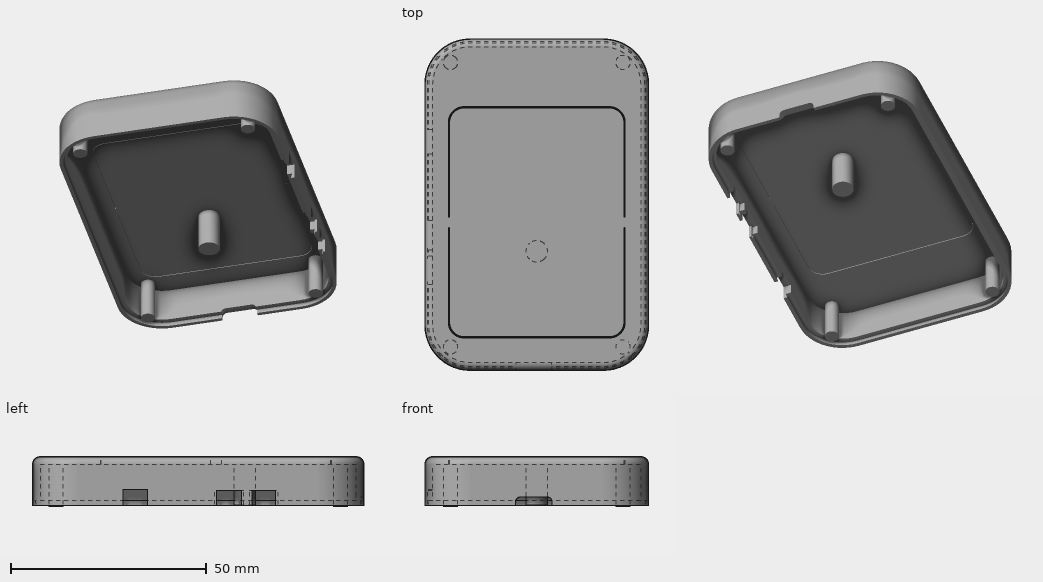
import cadquery as cq

LENGTH_X = 57.2
LENGTH_Y = 84.7
TOTAL_HEIGHT = 12.8
FOOT_DROP = 0.3
HEIGHT = TOTAL_HEIGHT - FOOT_DROP
CORNER_RADIUS = 11.6
ROOF_FILLET = 2.0

WALL = 2.0
ROOF = 2.0
RIM_WALL = 1.0
REBATE_HEIGHT = 1.35
REBATE_TAPER = 15.0

PANEL_X = 45.1
PANEL_Y = 59.0
PANEL_CENTER_Y = -4.5
PANEL_RADIUS = 4.0
SLOT_WIDTH = 0.2
BRIDGE_LENGTH = 2.8

CORNER_POST_DIAMETER = 3.67
CORNER_POST_X = 22.05
CORNER_POST_Y = 36.35
BUTTON_POST_DIAMETER = 5.5
BUTTON_POST_Y = -11.9
BUTTON_POST_BOTTOM = 0.2

SINGLE_OPENING = (16.1, 6.3, 4.1)
POCKETED_OPENINGS = [
    (-7.85, 6.3, 3.85),
    (-16.75, 6.1, 3.85),
]
POCKET_SIDE_CLEARANCE = 0.6
POCKET_WALL = 0.7

CONNECTOR_CENTER_X = -0.75
CONNECTOR_WIDTH = 9.3
CONNECTOR_HEIGHT = 2.2
CONNECTOR_RADIUS = 1.3

CUT_MARGIN = 1.0


def rounded_block(size_x, size_y, radius, bottom, height, taper=0):
    """Upright block with rounded corners, centered on the Z axis."""
    outline = cq.Sketch().rect(size_x, size_y).vertices().fillet(radius)
    return cq.Workplane("XY", origin=(0, 0, bottom)).placeSketch(outline).extrude(height, taper=taper)


def inset_block(inset, bottom, height, taper=0):
    """Block following the cover outline, moved inwards by the inset."""
    return rounded_block(
        LENGTH_X - 2 * inset, LENGTH_Y - 2 * inset, CORNER_RADIUS - inset, bottom, height, taper
    )


def make_shell():
    shell = inset_block(0, 0, HEIGHT).faces(">Z").edges().fillet(ROOF_FILLET)
    shell = shell.cut(inset_block(WALL, -CUT_MARGIN, HEIGHT - ROOF + CUT_MARGIN))
    return shell.cut(inset_block(RIM_WALL, 0, REBATE_HEIGHT, -REBATE_TAPER))


def make_panel_slot():
    bottom = HEIGHT - ROOF - CUT_MARGIN
    height = ROOF + 2 * CUT_MARGIN
    inner_x = PANEL_X - 2 * SLOT_WIDTH
    inner_y = PANEL_Y - 2 * SLOT_WIDTH
    slot = rounded_block(PANEL_X, PANEL_Y, PANEL_RADIUS, bottom, height)
    slot = slot.cut(rounded_block(inner_x, inner_y, PANEL_RADIUS - SLOT_WIDTH, bottom, height))
    bridges = cq.Workplane("XY", origin=(0, 0, bottom)).rect(LENGTH_X, BRIDGE_LENGTH).extrude(height)
    return slot.cut(bridges).translate((0, PANEL_CENTER_Y, 0))


def make_post(x, y, diameter, bottom):
    """Round post from the given bottom height up into the roof."""
    top = HEIGHT - ROOF / 2
    return cq.Workplane("XY", origin=(x, y, bottom)).circle(diameter / 2).extrude(top - bottom)


def make_side_opening(center_y, width, height, inset=-CUT_MARGIN):
    """Cutter through the rest of the -X wall, starting the inset inside its outer face."""
    depth = WALL + CUT_MARGIN - inset
    opening = cq.Workplane("XY").box(depth, width, height + CUT_MARGIN)
    center_x = -LENGTH_X / 2 + inset + depth / 2
    return opening.translate((center_x, center_y, (height - CUT_MARGIN) / 2))


def make_pocketed_opening(center_y, width, height):
    pocket_width = width + 2 * POCKET_SIDE_CLEARANCE
    pocket = make_side_opening(center_y, pocket_width, height, POCKET_WALL)
    return make_side_opening(center_y, width, height).union(pocket)


def make_connector_opening():
    depth = WALL + 2 * CUT_MARGIN
    opening = cq.Workplane("XY").box(CONNECTOR_WIDTH, depth, CONNECTOR_HEIGHT + CUT_MARGIN)
    opening = opening.edges("|Y and >Z").fillet(CONNECTOR_RADIUS)
    return opening.translate((
        CONNECTOR_CENTER_X,
        -LENGTH_Y / 2 + depth / 2 - CUT_MARGIN,
        (CONNECTOR_HEIGHT - CUT_MARGIN) / 2,
    ))


result = make_shell()
for x in (-CORNER_POST_X, CORNER_POST_X):
    for y in (-CORNER_POST_Y, CORNER_POST_Y):
        result = result.union(make_post(x, y, CORNER_POST_DIAMETER, -FOOT_DROP))
result = result.union(make_post(0, BUTTON_POST_Y, BUTTON_POST_DIAMETER, BUTTON_POST_BOTTOM))
result = result.cut(make_panel_slot())
result = result.cut(make_side_opening(*SINGLE_OPENING))
for opening in POCKETED_OPENINGS:
    result = result.cut(make_pocketed_opening(*opening))
result = result.cut(make_connector_opening())